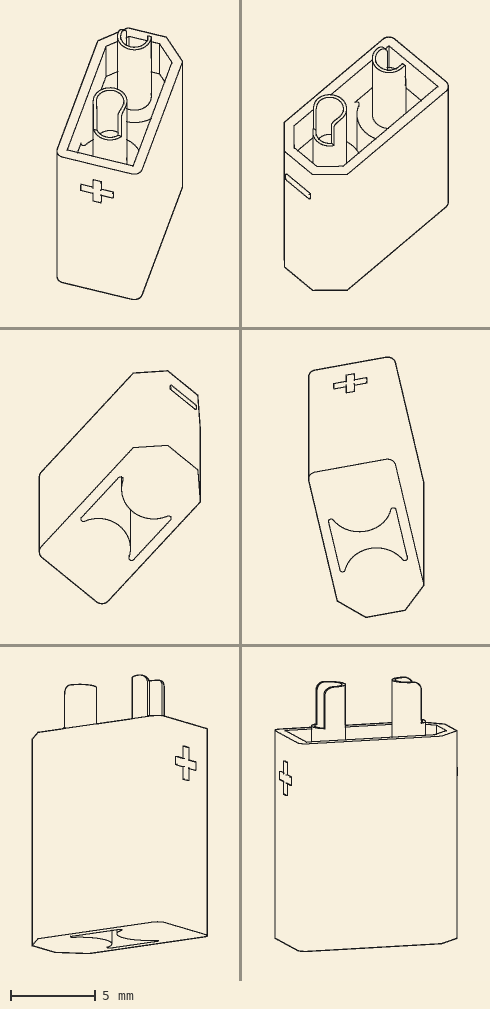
import cadquery as cq
import math

width = 5.25
overall_length = 10.45
mark_relief = 0.1
length = overall_length - 2 * mark_relief
housing_height = 12.5
outer_chamfer = 1.44
chamfer_corner_radius = 0.03
corner_radius = 0.5

wall = 0.59
inner_chamfer = 1.1
floor_height = 9.49
cavity_width = width - 2 * wall
cavity_length = length - 2 * wall
cavity_depth = housing_height - floor_height

cup_spacing = 5.0
cup_diameter = 2.0
bore_diameter = 1.63
cup_top = 15.5
bore_depth = 4.0
notch_bottom = 13.0
notch_offset = 0.5
notch_round = 0.5

seat_radius = 1.9
window_fillet = 0.15

mark_length = 2.0
mark_thickness = 0.5
mark_edge_radius = 0.02
mark_drop = 2.5
mark_height = housing_height - mark_drop


def keyed_block(block_width, block_length, chamfer, base, height):
    """Rectangular block whose two upright edges on the +Y side are chamfered."""
    block = cq.Workplane("XY").workplane(offset=base).rect(block_width, block_length).extrude(height)
    return block.edges("|Z and >Y").chamfer(chamfer)


def make_housing():
    outer = keyed_block(width, length, outer_chamfer, 0, housing_height)
    outer = outer.edges("|Z and <Y").fillet(corner_radius)
    chamfer_corners = cq.selectors.BoxSelector(
        (-width, length / 2 - 2 * outer_chamfer, 0), (width, length, housing_height)
    )
    outer = outer.edges("|Z").edges(chamfer_corners).fillet(chamfer_corner_radius)
    return outer.cut(keyed_block(cavity_width, cavity_length, inner_chamfer, floor_height, cavity_depth))


def make_window():
    """Opening bounded by the side walls and both seats, with fillets tangent to wall and seat."""
    seat_y = cup_spacing / 2
    wall_x = cavity_width / 2
    fillet_x = wall_x - window_fillet
    center_distance = seat_radius + window_fillet
    fillet_y = seat_y - math.sqrt(center_distance**2 - fillet_x**2)
    seat_share = seat_radius / center_distance
    touch_x = fillet_x * seat_share
    touch_y = seat_y + (fillet_y - seat_y) * seat_share
    touch_angle = math.atan2(seat_y - fillet_y, -fillet_x)
    mid_x = fillet_x + window_fillet * math.cos(touch_angle / 2)
    mid_y = fillet_y + window_fillet * math.sin(touch_angle / 2)
    seat_tip_y = seat_y - seat_radius
    return (
        cq.Workplane("XY")
        .moveTo(wall_x, -fillet_y)
        .lineTo(wall_x, fillet_y)
        .threePointArc((mid_x, mid_y), (touch_x, touch_y))
        .threePointArc((0, seat_tip_y), (-touch_x, touch_y))
        .threePointArc((-mid_x, mid_y), (-wall_x, fillet_y))
        .lineTo(-wall_x, -fillet_y)
        .threePointArc((-mid_x, -mid_y), (-touch_x, -touch_y))
        .threePointArc((0, -seat_tip_y), (touch_x, -touch_y))
        .threePointArc((mid_x, -mid_y), (wall_x, -fillet_y))
        .close()
        .extrude(floor_height)
    )


def make_cup():
    """Solder cup on the +Y side, notched on its outward half."""
    cup = (
        cq.Workplane("XY")
        .workplane(offset=floor_height)
        .circle(cup_diameter / 2)
        .extrude(cup_top - floor_height)
        .faces(">Z")
        .workplane()
        .hole(bore_diameter, bore_depth)
    )
    outer_y = cup_diameter
    notch = (
        cq.Workplane("YZ")
        .moveTo(notch_offset, notch_bottom)
        .lineTo(outer_y, notch_bottom)
        .lineTo(outer_y, cup_top)
        .lineTo(notch_offset - notch_round, cup_top)
        .radiusArc((notch_offset, cup_top - notch_round), notch_round)
        .close()
        .extrude(cup_diameter / 2, both=True)
    )
    return cup.cut(notch).translate((0, cup_spacing / 2, 0))


def make_bar(size_x, size_z, side):
    """Raised bar on the +Y (side = 1) or -Y (side = -1) end face, sunk into the wall to join it."""
    embed = wall / 2
    center_y = side * (overall_length / 2 - (mark_relief + embed) / 2)
    return cq.Workplane("XY").box(size_x, mark_relief + embed, size_z).translate((0, center_y, mark_height))


def make_plus_sign():
    arms = make_bar(mark_length, mark_thickness, -1).union(make_bar(mark_thickness, mark_length, -1))
    return arms.faces("<Y").edges().fillet(mark_edge_radius)


def make_minus_sign():
    return make_bar(mark_length, mark_thickness, 1).faces(">Y").edges().fillet(mark_edge_radius)


cup = make_cup()
result = make_housing().cut(make_window())
for feature in (cup, cup.mirror("XZ"), make_plus_sign(), make_minus_sign()):
    result = result.union(feature)